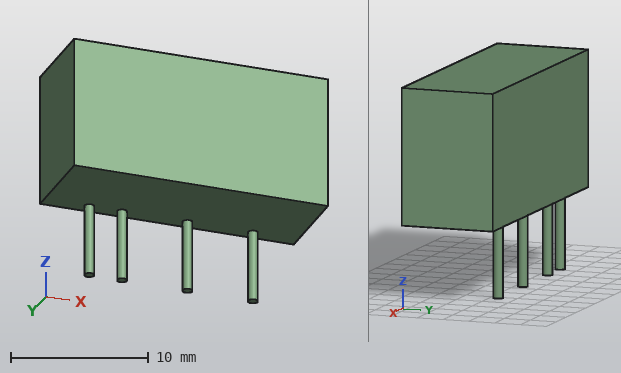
import cadquery as cq

housing_length = 19.66
housing_width = 7.05
housing_height = 10.15
overall_height = 15.65

pin_diameter = 0.73
pin_length = overall_height - housing_height
pin_pitch = 2.54
pin_pitch_offsets = (-2.5, -1.5, 0.5, 2.5)
row_inset = 0.88
row_y = housing_width / 2 - row_inset


def make_housing():
    return cq.Workplane("XY").box(
        housing_length, housing_width, housing_height, centered=(True, True, False)
    )


def make_pin(x):
    """Straight pin whose top end touches the underside of the housing."""
    return (
        cq.Workplane("XY")
        .center(x, row_y)
        .circle(pin_diameter / 2)
        .extrude(-pin_length)
    )


housing = make_housing()
pins = [make_pin(offset * pin_pitch) for offset in pin_pitch_offsets]

result = cq.Compound.makeCompound([housing.val(), *[pin.val() for pin in pins]])